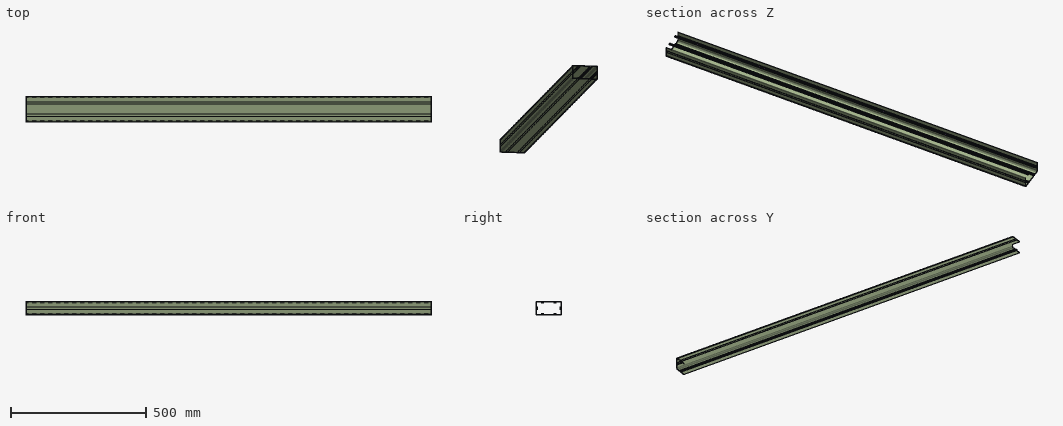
import cadquery as cq

length = 1500.0
height = length / 30
width = 1.9 * height
wall = 2.0
corner_radius = 5.0
rib_width = 8.0
rib_depth = 3.0
rib_offset = 22.0

inner_width = width - 2 * wall
inner_height = height - 2 * wall


def bar(y_size, z_size, y=0, z=0):
    """Full-length rectangular bar centred at (y, z)."""
    return cq.Workplane("XY").box(length, y_size, z_size).translate((0, y, z))


tube = bar(width, height).edges("|X").fillet(corner_radius)
bore = bar(inner_width, inner_height).edges("|X").fillet(corner_radius - wall)
tube = tube.cut(bore)

overlap = wall / 2
rib_size = rib_depth + overlap
rib_z = inner_height / 2 + overlap - rib_size / 2
rib_y = inner_width / 2 + overlap - rib_size / 2

result = tube
for side in (-1, 1):
    result = result.union(bar(rib_size, rib_width, y=side * rib_y))
    for y in (-rib_offset, rib_offset):
        result = result.union(bar(rib_width, rib_size, y=y, z=side * rib_z))